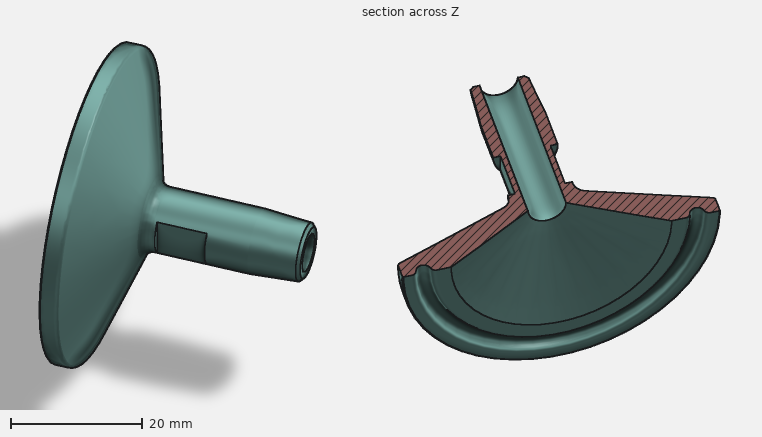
import cadquery as cq
import math

total_length = 35.0
flange_radius = 50.5 / 2
bore_radius = 3.0

cone_angle = math.radians(20.0)
rim_thickness = 2.85
rim_front_chamfer = 0.2
rim_back_round = 0.7
funnel_mouth_radius = 17.5
funnel_depth = 8.0
neck_fillet = 2.0

stem_radius = 5.15
taper_start = 26.9
taper_end_radius = 4.6
tip_chamfer = 0.55

flats_start = 12.0
flats_length = 8.0
flats_width = 8.0

groove_mean_radius = 21.75
groove_half_width = 2.0
groove_depth = 1.6
groove_lip_round = 0.9
groove_wall_angle = math.radians(20.0)


def make_blank():
    """Solid flange, back cone and stem turned about X, with rounded corners."""
    neck_x = rim_thickness + (flange_radius - stem_radius) * math.tan(cone_angle)
    blank = (
        cq.Workplane("XZ")
        .polyline([
            (0, 0),
            (0, flange_radius - rim_front_chamfer),
            (rim_front_chamfer, flange_radius),
            (rim_thickness, flange_radius),
            (neck_x, stem_radius),
            (taper_start, stem_radius),
            (total_length, taper_end_radius),
            (total_length, 0),
        ])
        .close()
        .revolve(360, (0, 0, 0), (1, 0, 0))
    )
    blank = round_ring(blank, rim_thickness, rim_back_round)
    blank = round_ring(blank, neck_x, neck_fillet)
    return blank.faces(">X").edges().chamfer(tip_chamfer)


def round_ring(body, ring_x, radius):
    """Round the circular edge lying in the plane X = ring_x."""
    half_slab = 0.01
    reach = 2 * flange_radius
    ring = cq.selectors.BoxSelector(
        (ring_x - half_slab, -reach, -reach),
        (ring_x + half_slab, reach, reach),
        boundingbox=True,
    )
    return body.edges("%CIRCLE").edges(ring).fillet(radius)


def make_funnel():
    """Conical mouth running down into the through bore."""
    return (
        cq.Workplane("XZ")
        .polyline([
            (0, 0),
            (0, funnel_mouth_radius),
            (funnel_depth, bore_radius),
            (total_length, bore_radius),
            (total_length, 0),
        ])
        .close()
        .revolve(360, (0, 0, 0), (1, 0, 0))
    )


def make_groove():
    """Ring groove: rounded lips, short sloping walls and a round bottom."""
    sine = math.sin(groove_wall_angle)
    cosine = math.cos(groove_wall_angle)
    lip_mid_angle = (math.pi / 2 + groove_wall_angle) / 2

    lip_end_x = groove_lip_round * (1 - sine)
    lip_end_offset = groove_half_width - groove_lip_round * cosine
    lip_mid_x = groove_lip_round * (1 - math.sin(lip_mid_angle))
    lip_mid_offset = groove_half_width - groove_lip_round * math.cos(lip_mid_angle)

    wall_reach = lip_end_offset * cosine - (groove_depth - lip_end_x) * sine
    bottom_radius = wall_reach / (1 - sine)
    bottom_start_x = groove_depth - bottom_radius * (1 - sine)
    bottom_start_offset = bottom_radius * cosine

    mean = groove_mean_radius
    return (
        cq.Workplane("XZ")
        .moveTo(0, mean + groove_half_width)
        .threePointArc((lip_mid_x, mean + lip_mid_offset), (lip_end_x, mean + lip_end_offset))
        .lineTo(bottom_start_x, mean + bottom_start_offset)
        .threePointArc((groove_depth, mean), (bottom_start_x, mean - bottom_start_offset))
        .lineTo(lip_end_x, mean - lip_end_offset)
        .threePointArc((lip_mid_x, mean - lip_mid_offset), (0, mean - groove_half_width))
        .close()
        .revolve(360, (0, 0, 0), (1, 0, 0))
    )


def make_flat_cutter(side):
    """Block removing the stem beyond one wrench flat; side is +1 or -1 along Y."""
    cutter_depth = stem_radius
    return cq.Workplane("XY").box(flats_length, cutter_depth, 2 * stem_radius).translate(
        (flats_start + flats_length / 2, side * (flats_width + cutter_depth) / 2, 0)
    )


result = make_blank().cut(make_funnel()).cut(make_groove())
for flat_side in (-1, 1):
    result = result.cut(make_flat_cutter(flat_side))